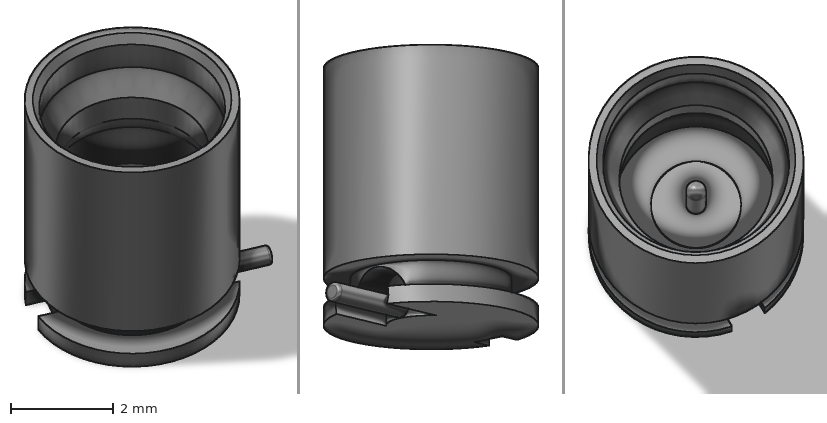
import cadquery as cq

total_height = 5.15
body_radius = 2.1
body_bottom = 0.95
flange_height = 0.35
neck_radius = 1.575

mouth_radius = 1.94
lip_radius = 1.82
lip_height = 4.955
cone_top = 4.35
cone_bottom = 3.84
bore_radius = 1.5
bore_bottom = 3.28
groove_radius = 1.6
groove_top = 2.96
socket_floor = 2.0

bead_radius = 0.88
bead_step = 0.05
bead_top = socket_floor + bead_step
wire_radius = 0.195
wire_height = 0.205
wire_end = 2.85
wire_tip_fillet = 0.065
pin_top = 3.195

wire_hole_radius = 0.7
notch_width = 0.735
notch_bottom = 1.65


def make_shell():
    """Revolve the flange, neck and body together with the stepped socket."""
    profile = [
        (0, 0),
        (body_radius, 0),
        (body_radius, flange_height),
        (neck_radius, flange_height),
        (neck_radius, body_bottom),
        (body_radius, body_bottom),
        (body_radius, total_height),
        (mouth_radius, total_height),
        (lip_radius, lip_height),
        (lip_radius, cone_top),
        (bore_radius, cone_bottom),
        (bore_radius, bore_bottom),
        (groove_radius, groove_top),
        (groove_radius, socket_floor),
        (0, socket_floor),
    ]
    return cq.Workplane("XZ").polyline(profile).close().revolve(360, (0, 0), (0, 1))


def rod_toward_back(radius, length):
    """Cylinder at wire height, running from the Z axis toward +Y."""
    start = cq.Workplane("XZ").center(0, wire_height)
    return start.circle(radius).extrude(-length)


def make_notch():
    """Rectangular cutter for the notch in the -Y edge of the flange."""
    depth = body_radius - notch_bottom
    middle = -(body_radius + notch_bottom) / 2
    start = cq.Workplane("XY").center(0, middle)
    return start.rect(notch_width, depth).extrude(flange_height)


def make_bead():
    """Insulator core, closing the inner end of the wire hole and standing just above the socket floor."""
    return cq.Workplane("XY").circle(bead_radius).extrude(bead_top)


def make_pin():
    """Contact pin on the Z axis with a hemispherical tip."""
    straight_top = pin_top - wire_radius
    start = cq.Workplane("XY").workplane(offset=wire_height)
    shank = start.circle(wire_radius).extrude(straight_top - wire_height)
    tip = cq.Workplane("XY").sphere(wire_radius).translate((0, 0, straight_top))
    return shank.union(tip)


def make_wire():
    """Lead wire with a rounded free end."""
    return rod_toward_back(wire_radius, wire_end).faces(">Y").edges().fillet(wire_tip_fillet)


shell = make_shell()
shell = shell.cut(rod_toward_back(wire_hole_radius, body_radius))
shell = shell.cut(make_notch())

result = shell.union(make_bead()).union(make_pin()).union(make_wire())